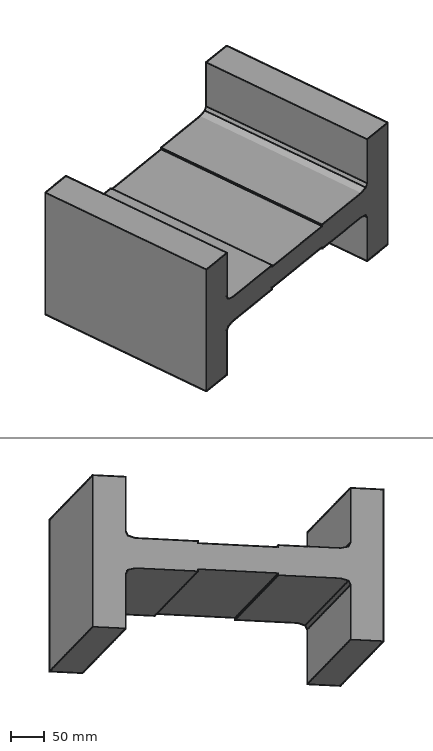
import cadquery as cq

width = 300.0
length = 440.0
height = 230.0

flange_thickness = 50.0
web_thickness = 45.8
thin_web_thickness = 39.5
thin_web_length = 121.5

steep_facet_run = 3.0
steep_facet_rise = 6.0
shallow_facet_run = 11.5
shallow_facet_rise = 3.0

flange_face = length / 2 - flange_thickness
facet_joint = flange_face - steep_facet_run
web_start = facet_joint - shallow_facet_run
web_top = web_thickness / 2
facet_joint_height = web_top + shallow_facet_rise
transition_top = facet_joint_height + steep_facet_rise

quarter_outline = [
    (0, thin_web_thickness / 2),
    (thin_web_length / 2, thin_web_thickness / 2),
    (thin_web_length / 2, web_top),
    (web_start, web_top),
    (facet_joint, facet_joint_height),
    (flange_face, transition_top),
    (flange_face, height / 2),
    (length / 2, height / 2),
    (length / 2, 0),
]

section = cq.Workplane("YZ").polyline(quarter_outline).mirrorX().mirrorY()
result = section.extrude(width / 2, both=True)